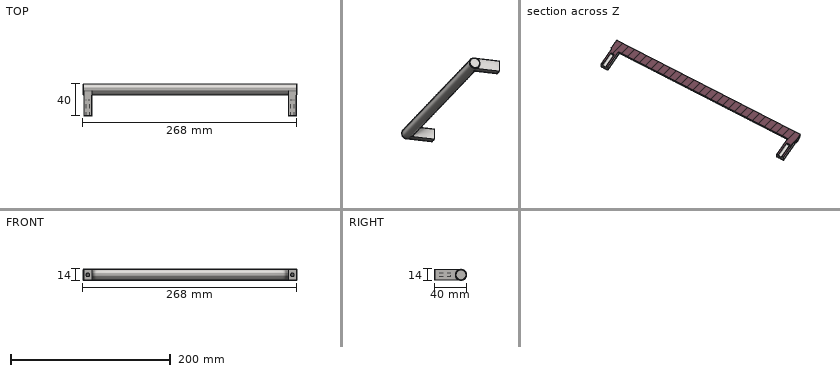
import cadquery as cq

bar_length = 268.0
bar_diameter = 14.0
end_chamfer = 0.8

overall_depth = 40.0
post_spacing = 256.0
post_width = 10.0
post_height = 13.5

hole_diameter = 4.5
hole_depth = 20.0

bar_radius = bar_diameter / 2
foot_y = bar_radius - overall_depth
post_length = -foot_y


def make_bar():
    """Round bar with both end rims chamfered; its seam faces -Y."""
    middle_plane = cq.Plane(origin=(0, 0, 0), xDir=(0, -1, 0), normal=(1, 0, 0))
    bar = cq.Workplane(middle_plane).circle(bar_radius).extrude(bar_length / 2, both=True)
    return bar.faces("<X or >X").chamfer(end_chamfer)


def foot_workplane(center_x):
    """Workplane on a post's foot, with its normal pointing to -Y."""
    return cq.Workplane("XZ", origin=(center_x, foot_y, 0))


def make_post(center_x):
    """Rectangular post from the foot up to the bar axis."""
    return foot_workplane(center_x).rect(post_width, post_height).extrude(-post_length)


def make_fixing_hole(center_x):
    """Cutter for the blind hole that enters a post through its foot."""
    return foot_workplane(center_x).circle(hole_diameter / 2).extrude(-hole_depth)


result = make_bar()
for post_x in (-post_spacing / 2, post_spacing / 2):
    result = result.union(make_post(post_x)).cut(make_fixing_hole(post_x))